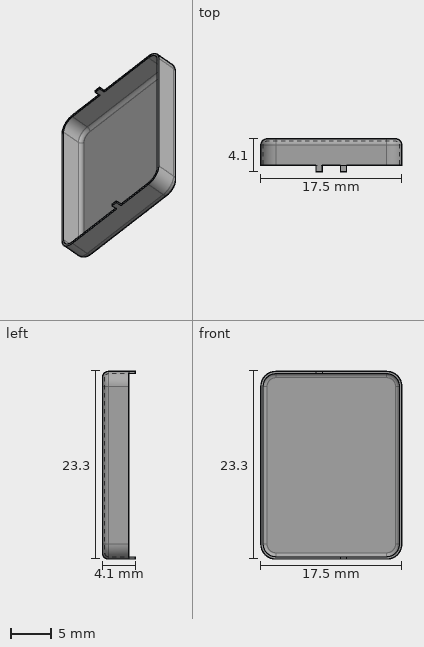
import cadquery as cq

width = 17.5
height = 23.3
total_depth = 4.1
wall = 0.3
corner_radius = 1.89
inner_floor_radius = 0.5
outer_floor_radius = inner_floor_radius + wall

tab_width = 0.8
tab_length = 0.8
tab_offset = 1.51

tray_depth = total_depth - tab_length


def rounded_block(inset, depth, floor_radius):
    """Block from the rim plane (Y = 0) to Y = depth, with rounded corners and far edge."""
    return (
        cq.Workplane("XZ")
        .rect(width - 2 * inset, height - 2 * inset)
        .extrude(-depth)
        .edges("|Y")
        .fillet(corner_radius - inset)
        .faces(">Y")
        .edges()
        .fillet(floor_radius)
    )


def rim_tab(side):
    """Tab flush with the top (side = 1) or bottom (side = -1) wall."""
    center_x = -side * tab_offset
    center_z = side * (height - wall) / 2
    return (
        cq.Workplane("XZ", origin=(0, wall, 0))
        .center(center_x, center_z)
        .rect(tab_width, wall)
        .extrude(tab_length + wall)
    )


outside = rounded_block(0, tray_depth, outer_floor_radius)
cavity = rounded_block(wall, tray_depth - wall, inner_floor_radius)
result = outside.cut(cavity)

for side in (1, -1):
    result = result.union(rim_tab(side))